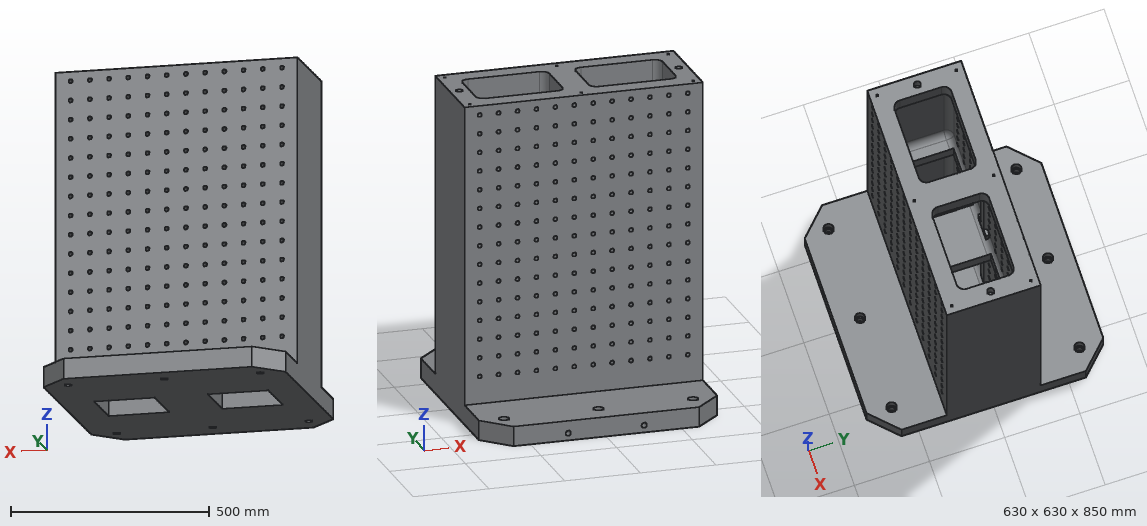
import cadquery as cq
import math

HEIGHT = 850.0
BASE_SIDE = 630.0
BASE_THICKNESS = 53.0
BASE_CHAMFER = 70.0
TOWER_DEPTH = 250.0
BASE_TOP = -HEIGHT / 2 + BASE_THICKNESS
TOP = HEIGHT / 2
BOTTOM = -HEIGHT / 2

RIM_THICKNESS = 60.0
MOUTH_OFFSET = 150.0
MOUTH_WIDTH = 229.5
MOUTH_DEPTH = 151.0
CORNER_RADIUS = 20.0
CAVITY_WIDTH = 549.0
CAVITY_DEPTH = 170.0

DECK_THICKNESS = 49.0
UPPER_CHAMBER = (DECK_THICKNESS / 2, TOP - RIM_THICKNESS)
LOWER_CHAMBER = (BASE_TOP, -DECK_THICKNESS / 2)

RIB_WIDTH = 22.0
RIB_HEIGHT = 10.0
CROSSING_WIDTH = 61.0
CROSSING_HEIGHT = 112.0

WINDOW_OFFSET = 148.0
WINDOW_WIDTH = 157.0
WINDOW_DEPTH = 150.0

GRID_COLUMNS = 12
GRID_ROWS = 15
GRID_WIDTH = 550.0
GRID_PITCH = GRID_WIDTH / (GRID_COLUMNS - 1)
GRID_TOP_MARGIN = 25.0
GRID_DIAMETER = 10.0
GRID_DEPTH = 41.0

LIFT_DIAMETER = 18.0
LIFT_DEPTH = 34.0
LIFT_OFFSET = 290.0
DRILL_POINT_ANGLE = 118
PIN_DIAMETER = 5.0
PIN_DEPTH = 10.0
PIN_OFFSET_X = 295.0
PIN_OFFSET_Y = 105.0

BOLT_SPACING = 250.0
BOLT_DIAMETER = 18.0
BOLT_HEAD_DIAMETER = 26.0
BOLT_HEAD_DEPTH = 27.0
SIDE_DIAMETER = 14.0
SIDE_DEPTH = 30.0
SIDE_OFFSET = 100.0
SIDE_HEIGHT = 19.5


def plane_at(z):
    return cq.Workplane("XY").workplane(offset=z)


def outer_body():
    base = plane_at(BOTTOM).rect(BASE_SIDE, BASE_SIDE).extrude(BASE_THICKNESS)
    base = base.edges("|Z").chamfer(BASE_CHAMFER)
    tower = plane_at(BASE_TOP).rect(BASE_SIDE, TOWER_DEPTH).extrude(HEIGHT - BASE_THICKNESS)
    return base.union(tower)


def ribs():
    """Upright ribs on both walls, flanked by quarter rounds and thickened at the deck."""
    crest = RIB_WIDTH / 2
    foot = crest + RIB_HEIGHT
    wall = CAVITY_DEPTH / 2
    arc_middle = RIB_HEIGHT * (1 - math.sqrt(0.5))
    rib = (
        plane_at(BASE_TOP)
        .moveTo(-foot, wall)
        .threePointArc((-crest - arc_middle, wall - arc_middle), (-crest, wall - RIB_HEIGHT))
        .lineTo(crest, wall - RIB_HEIGHT)
        .threePointArc((crest + arc_middle, wall - arc_middle), (foot, wall))
        .close()
        .extrude(TOP - BASE_TOP)
    )
    pad = cq.Workplane("XY").box(CROSSING_WIDTH, RIB_HEIGHT, CROSSING_HEIGHT)
    rib = rib.union(pad.translate((0, wall - RIB_HEIGHT / 2, 0)))
    return rib.union(rib.mirror("XZ"))


def chamber(floor, ceiling):
    room = plane_at(floor).rect(CAVITY_WIDTH, CAVITY_DEPTH).extrude(ceiling - floor)
    return room.edges("|Z or <Z").fillet(CORNER_RADIUS)


def mouths():
    openings = (
        plane_at(TOP - RIM_THICKNESS)
        .pushPoints([(-MOUTH_OFFSET, 0), (MOUTH_OFFSET, 0)])
        .rect(MOUTH_WIDTH, MOUTH_DEPTH)
        .extrude(RIM_THICKNESS)
    )
    return openings.edges("|Z").fillet(CORNER_RADIUS)


def windows():
    return (
        plane_at(BOTTOM)
        .pushPoints([(-WINDOW_OFFSET, 0), (WINDOW_OFFSET, 0)])
        .rect(WINDOW_WIDTH, WINDOW_DEPTH)
        .extrude(UPPER_CHAMBER[0] + CORNER_RADIUS - BOTTOM)
    )


def grid_holes():
    top_row = TOP - GRID_TOP_MARGIN
    points = [
        (column * GRID_PITCH - GRID_WIDTH / 2, top_row - row * GRID_PITCH)
        for column in range(GRID_COLUMNS)
        for row in range(GRID_ROWS)
    ]
    front = (
        cq.Workplane("XZ", origin=(0, -TOWER_DEPTH / 2, 0))
        .pushPoints(points)
        .circle(GRID_DIAMETER / 2)
        .extrude(-GRID_DEPTH)
    )
    back = front.mirror("XZ")
    return cq.Compound.makeCompound(front.vals() + back.vals())


def drilled_hole(diameter, depth):
    """Hole going down from the origin, with a conical drill point below its full depth."""
    radius = diameter / 2
    point = radius / math.tan(math.radians(DRILL_POINT_ANGLE / 2))
    profile = [(0, 0), (radius, 0), (radius, -depth), (0, -depth - point)]
    return cq.Workplane("XZ").polyline(profile).close().revolve(360, (0, 0), (0, 1))


def rim_holes():
    drill = drilled_hole(LIFT_DIAMETER, LIFT_DEPTH)
    lifts = [drill.translate((x, 0, TOP)) for x in (-LIFT_OFFSET, LIFT_OFFSET)]
    points = [(x, y) for x in (-PIN_OFFSET_X, 0, PIN_OFFSET_X) for y in (-PIN_OFFSET_Y, PIN_OFFSET_Y)]
    pins = (
        plane_at(TOP)
        .pushPoints(points)
        .circle(PIN_DIAMETER / 2)
        .extrude(-PIN_DEPTH)
    )
    return pins.union(lifts[0]).union(lifts[1])


def bolt_holes():
    points = [(x, y) for x in (-BOLT_SPACING, 0, BOLT_SPACING) for y in (-BOLT_SPACING, BOLT_SPACING)]
    shanks = plane_at(BOTTOM).pushPoints(points).circle(BOLT_DIAMETER / 2).extrude(BASE_THICKNESS)
    heads = plane_at(BASE_TOP).pushPoints(points).circle(BOLT_HEAD_DIAMETER / 2).extrude(-BOLT_HEAD_DEPTH)
    return shanks.union(heads)


def side_holes():
    drill = drilled_hole(SIDE_DIAMETER, SIDE_DEPTH).rotate((0, 0, 0), (1, 0, 0), 90)
    drill = drill.translate((0, -BASE_SIDE / 2, BOTTOM + SIDE_HEIGHT))
    return drill.translate((-SIDE_OFFSET, 0, 0)).union(drill.translate((SIDE_OFFSET, 0, 0)))


cavity = chamber(*UPPER_CHAMBER).union(chamber(*LOWER_CHAMBER)).union(windows()).cut(ribs())
result = (
    outer_body()
    .cut(cavity)
    .cut(mouths())
    .cut(grid_holes())
    .cut(rim_holes())
    .cut(bolt_holes())
    .cut(side_holes())
)